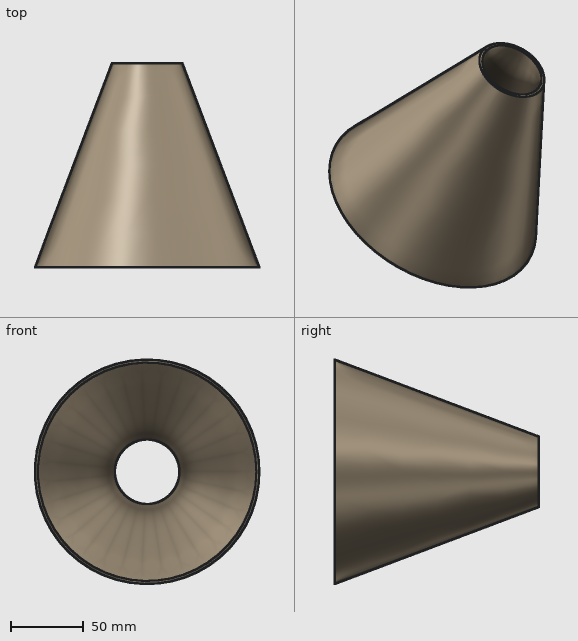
import cadquery as cq

length = 140.0
wide_radius = 154.0 / 2
narrow_radius = 48.4 / 2
radial_wall = 2.2

wall_section = (
    cq.Workplane("XY")
    .moveTo(wide_radius - radial_wall, 0)
    .lineTo(wide_radius, 0)
    .lineTo(narrow_radius, length)
    .lineTo(narrow_radius - radial_wall, length)
    .close()
)
result = wall_section.revolve(360, (0, 0, 0), (0, 1, 0))